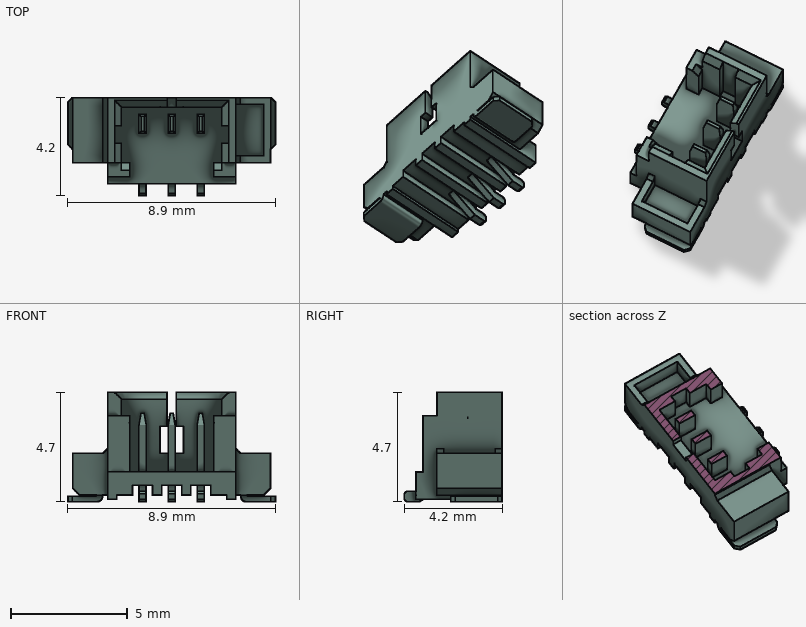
import cadquery as cq


body_width = 5.5
body_depth = 3.7
body_height = 4.7
foot_bottom = 0.11
foot_width = 0.4
base_bottom = 0.29
base_top = 1.29
back_wall = 0.41
side_wall = 0.6
wall_depth = 2.8
rim_chamfer = 0.29

post_top = 3.7
post_front = 3.4
post_width = 0.94
post_chamfer = 0.3

groove_depth = 0.29
groove_back = 1.21
groove_front = 1.96

slot_width = 0.39
window_width = 1.0
window_bottom = 2.09
window_top = 3.24

wing_span = 8.49
wing_top = 2.09
wing_gusset = 0.2
wing_chamfer = 0.29
pocket_length = 1.2
pocket_back = 0.29
pocket_front = 2.5

pin_count = 3
pin_pitch = 1.25
pin_width = 0.31
pin_back = 0.72
pin_front = 1.53
pin_shoulder = 3.29
pin_top = 3.8
pin_tip_inset = 0.09
notch_width = 0.845
notch_top = 0.7

tail_front = 4.2
tail_thickness = 0.46
tail_chamfer = 0.11
tail_bend_bottom = 3.56
tail_bend_top = 3.63
tail_slope = 0.58

tab_span = 8.9
tab_depth = 2.21
tab_thickness = 0.25
tab_inner_x = 2.955
tab_inner_radius = 0.1
tab_chamfer = 0.2

half_body = body_width / 2
half_wing = wing_span / 2
half_tab = tab_span / 2
inner_half = half_body - side_wall
pin_places = [(i - (pin_count - 1) / 2) * pin_pitch for i in range(pin_count)]


def block(x_min, x_max, back, front, z_min, z_max):
    """Box whose back and front are distances in front of the back face."""
    return cq.Workplane("XY").box(
        x_max - x_min, front - back, z_max - z_min, centered=False
    ).translate((x_min, -front, z_min))


def frustum(base_centre, width, depth, height, spread):
    """Rectangular frustum whose four sides lean outward by spread (inward if negative)."""
    return (
        cq.Workplane("XY", origin=base_centre)
        .rect(width, depth)
        .workplane(offset=height)
        .rect(width + 2 * spread, depth + 2 * spread)
        .loft(ruled=True)
    )


def both_sides(shape):
    """The shape together with its mirror image across X = 0."""
    return shape.union(shape.mirror("YZ"))


def make_housing():
    side_profile = [
        (0, foot_bottom),
        (-body_depth, foot_bottom),
        (-body_depth, base_top),
        (-post_front, base_top),
        (-post_front, post_top),
        (-wall_depth, post_top),
        (-wall_depth, body_height),
        (0, body_height),
    ]
    housing = cq.Workplane("YZ").polyline(side_profile).close().extrude(half_body, both=True)

    housing = housing.cut(block(-inner_half, inner_half, back_wall, body_depth, base_top, body_height))
    grooves = block(inner_half, inner_half + groove_depth, groove_back, groove_front, base_top, body_height)
    housing = housing.cut(both_sides(grooves))

    cavity_depth = body_depth - back_wall
    lead_in = frustum(
        (0, -back_wall - cavity_depth / 2, body_height - rim_chamfer),
        2 * inner_half, cavity_depth, rim_chamfer, rim_chamfer,
    )
    housing = housing.cut(lead_in)

    lip = block(half_body - post_width, inner_half, wall_depth, post_front, base_top, post_top)
    lip = lip.faces(">Z").edges(">Y").chamfer(post_chamfer)
    housing = housing.union(both_sides(lip))

    housing = housing.cut(block(-slot_width / 2, slot_width / 2, 0, back_wall, window_top, body_height))
    housing = housing.cut(block(-window_width / 2, window_width / 2, 0, back_wall, window_bottom, window_top))

    foot_inner = half_body - foot_width
    housing = housing.cut(block(-foot_inner, foot_inner, 0, body_depth, foot_bottom, base_bottom))
    for x in pin_places:
        notch = block(x - notch_width / 2, x + notch_width / 2, 0, body_depth, base_bottom, notch_top)
        housing = housing.cut(notch)
    return housing


def make_wing():
    """Wing on the +X side, without its pocket."""
    outline = [
        (half_body, base_bottom),
        (half_wing - wing_chamfer, base_bottom),
        (half_wing, base_bottom + wing_chamfer),
        (half_wing, wing_top),
        (half_body + wing_gusset, wing_top),
        (half_body, wing_top + wing_gusset),
    ]
    return cq.Workplane("XZ").polyline(outline).close().extrude(wall_depth)


def make_tab():
    """Anchor tab on the +X side: a flat plate bent up into the wing."""
    leg_outer = tab_inner_x + tab_thickness
    embed_top = base_bottom + tab_thickness
    tab = (
        cq.Workplane("XZ")
        .moveTo(half_tab, 0)
        .lineTo(leg_outer, 0)
        .radiusArc((tab_inner_x, tab_thickness), tab_thickness)
        .lineTo(tab_inner_x, embed_top)
        .lineTo(leg_outer, embed_top)
        .lineTo(leg_outer, tab_thickness + tab_inner_radius)
        .radiusArc((leg_outer + tab_inner_radius, tab_thickness), -tab_inner_radius)
        .lineTo(half_tab, tab_thickness)
        .close()
        .extrude(tab_depth)
    )
    return tab.edges("|Z and >X").chamfer(tab_chamfer)


def make_pin(x):
    """Upright blade with a tapered tip, and the solder tail below the base."""
    blade_depth = pin_front - pin_back
    tip_height = pin_top - pin_shoulder
    centre_y = -(pin_back + pin_front) / 2
    blade = block(x - pin_width / 2, x + pin_width / 2, pin_back, pin_front, notch_top, pin_shoulder)
    tip = frustum((x, centre_y, pin_shoulder), pin_width, blade_depth, tip_height, -pin_tip_inset)

    embed_top = (notch_top + base_top) / 2
    tail_profile = [
        (-tail_front, 0),
        (-tail_bend_bottom, 0),
        (-tail_bend_bottom + embed_top / tail_slope, embed_top),
        (-tail_bend_top + (embed_top - tail_thickness) / tail_slope, embed_top),
        (-tail_bend_top, tail_thickness),
        (-tail_front, tail_thickness),
    ]
    tail = (
        cq.Workplane("YZ", origin=(x, 0, 0))
        .polyline(tail_profile)
        .close()
        .extrude(pin_width / 2, both=True)
        .edges("|X and <Y")
        .chamfer(tail_chamfer)
    )
    return blade.union(tip).union(tail)


result = make_housing()
result = result.union(both_sides(make_wing()))

result = result.cut(
    block(half_body, half_body + pocket_length, pocket_back, pocket_front, base_top, wing_top + wing_gusset)
)

result = result.union(both_sides(make_tab()))
for pin_x in pin_places:
    result = result.union(make_pin(pin_x))